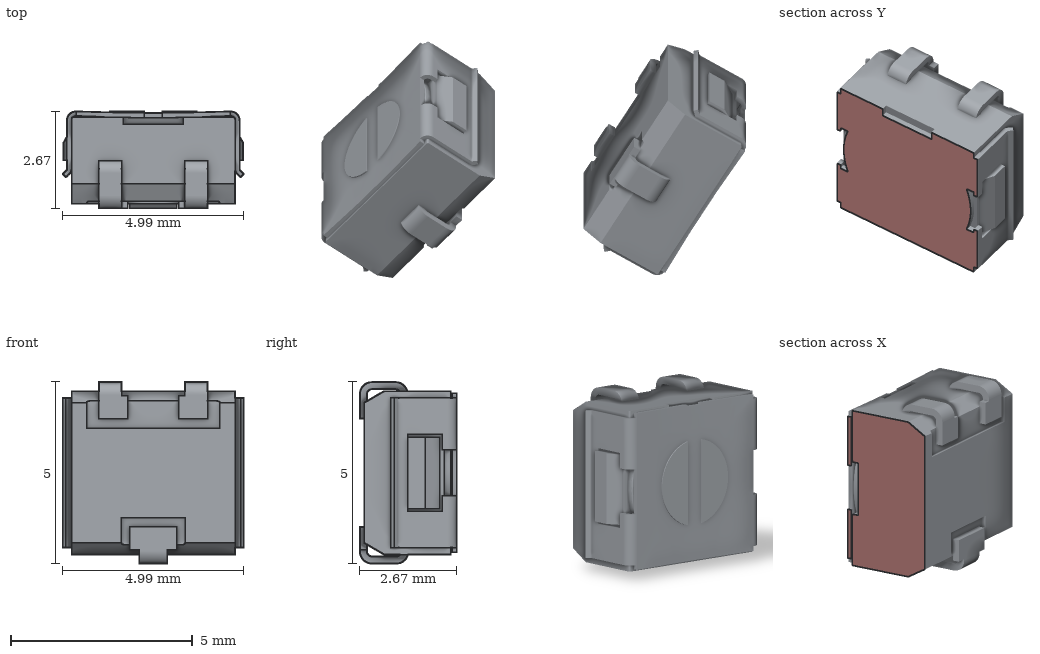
import cadquery as cq
import math

HOUSING_HALF = 2.25
HOUSING_DEPTH = 2.39
CHAMFER_DEPTH = 0.55
CHAMFER_HEIGHT = 0.32
BACK_EDGE_RADIUS = 0.05

RECESS_DEPTH = 0.08
RECESS_END_RADIUS = 0.079
RECESS_START = 1.23
TOP_RECESS_HALF_WIDTH = 1.835
BOTTOM_RECESS_HALF_WIDTH = 0.875

NOTCH_FLOOR = 2.20
TOP_NOTCH_INSET = 0.25
TOP_NOTCH_HALF_WIDTH = 0.82
SIDE_NOTCH_HALF_WIDTH = 0.75
SIDE_NOTCH_WALL_RADIUS = 2.15

WEDGE_REACH = 2.475
WEDGE_FRONT = 1.20
WEDGE_CREST = 1.68
WEDGE_BACK = 2.075
WEDGE_HALF_HEIGHT = 0.985

LEAD_FRONT = -0.12
LEAD_TOP = 2.50
LEAD_THICKNESS = 0.20
LEAD_BEND_RADIUS = 0.34
TOP_LEAD_LENGTH = 1.32
BOTTOM_LEAD_LENGTH = 1.34
PAD_START = 1.49
PAD_END = 2.115
TOP_LEAD_OUTER_X = 1.495
TOP_LEAD_INNER_X = 0.87
TOP_PAD_INNER_X = 0.70
BOTTOM_LEAD_HALF_WIDTH = 0.39
BOTTOM_PAD_HALF_WIDTH = 0.65

COVER_THICKNESS = 0.13
COVER_BACK = 2.55
COVER_HALF_WIDTH = HOUSING_HALF + COVER_THICKNESS
COVER_BEND_RADIUS = 0.26
COVER_SAG = 0.045
COVER_WALL_HALF_HEIGHT = 2.06
COVER_PLATE_HALF_HEIGHT = 2.19
COVER_NOTCH_DEPTH = 0.05
FLARE_REACH = 2.495
FLARE_START = 0.94
FLARE_BEND_RADIUS = 0.02
WINDOW_HALF_HEIGHT = 1.06
WINDOW_BACK = 2.147
WINDOW_SLOT_HALF_HEIGHT = 0.63

ROTOR_RADIUS = 1.2
ROTOR_BACK = 2.545
ROTOR_SLOT_WIDTH = 0.5


def block(x_range, y_range, z_range):
    sizes = [high - low for low, high in (x_range, y_range, z_range)]
    corner = (x_range[0], y_range[0], z_range[0])
    return cq.Workplane("XY").box(*sizes, centered=False).translate(corner)


def near_line(x, y):
    """Selects the edge that runs along Z through (x, y)."""
    return cq.selectors.NearestToPointSelector((x, y, 0))


def mirrored_x(shape):
    return shape.union(shape.mirror("YZ"))


def extrude_along_z(outline, half_height):
    return outline.extrude(half_height, both=True)


def housing_block():
    """Chamfered block with its side notches, rounded along the back edges that follow them."""
    outline = (
        cq.Workplane("YZ")
        .moveTo(0, HOUSING_HALF - CHAMFER_HEIGHT)
        .lineTo(CHAMFER_DEPTH, HOUSING_HALF)
        .lineTo(HOUSING_DEPTH, HOUSING_HALF)
        .lineTo(HOUSING_DEPTH, -HOUSING_HALF)
        .lineTo(CHAMFER_DEPTH, -HOUSING_HALF)
        .lineTo(0, CHAMFER_HEIGHT - HOUSING_HALF)
        .close()
    )
    notched = outline.extrude(HOUSING_HALF, both=True).cut(mirrored_x(side_notch()))
    return notched.faces(">Y").edges("not(<Z or >Z)").fillet(BACK_EDGE_RADIUS)


def pad_recess(half_width):
    """Recess open towards +Z, with rounded edges between its floor and its ends."""
    recess = block((-half_width, half_width), (0, RECESS_DEPTH), (RECESS_START, HOUSING_HALF))
    return recess.edges("|Z and >Y").fillet(RECESS_END_RADIUS)


def side_notch():
    """Notch in the -X back edge whose inner wall is part of a cylinder about the Y axis."""
    wall = -math.sqrt(SIDE_NOTCH_WALL_RADIUS**2 - SIDE_NOTCH_HALF_WIDTH**2)
    return (
        cq.Workplane("XZ", origin=(0, NOTCH_FLOOR, 0))
        .moveTo(-HOUSING_HALF, -SIDE_NOTCH_HALF_WIDTH)
        .lineTo(wall, -SIDE_NOTCH_HALF_WIDTH)
        .threePointArc((-SIDE_NOTCH_WALL_RADIUS, 0), (wall, SIDE_NOTCH_HALF_WIDTH))
        .lineTo(-HOUSING_HALF, SIDE_NOTCH_HALF_WIDTH)
        .close()
        .extrude(NOTCH_FLOOR - HOUSING_DEPTH)
    )


def top_notch():
    return block(
        (-TOP_NOTCH_HALF_WIDTH, TOP_NOTCH_HALF_WIDTH),
        (NOTCH_FLOOR, HOUSING_DEPTH),
        (HOUSING_HALF - TOP_NOTCH_INSET, HOUSING_HALF),
    )


def snap_wedges():
    outline = (
        cq.Workplane("XY")
        .moveTo(-HOUSING_HALF, WEDGE_FRONT)
        .lineTo(-WEDGE_REACH, WEDGE_FRONT)
        .lineTo(-WEDGE_REACH, WEDGE_CREST)
        .lineTo(-HOUSING_HALF, WEDGE_BACK)
        .close()
    )
    return mirrored_x(extrude_along_z(outline, WEDGE_HALF_HEIGHT))


def housing():
    bottom_recess = pad_recess(BOTTOM_RECESS_HALF_WIDTH).mirror("XY")
    return (
        housing_block()
        .cut(pad_recess(TOP_RECESS_HALF_WIDTH))
        .cut(bottom_recess)
        .cut(top_notch())
        .union(snap_wedges())
    )


def lead_strip(x_range, length):
    """Strip rising from the pad, bent back over the housing and down into it."""
    back = LEAD_FRONT + length
    bend_base = LEAD_TOP - LEAD_BEND_RADIUS
    strip = block(x_range, (LEAD_FRONT, back), (PAD_START, LEAD_TOP))
    strip = strip.edges("|X and >Z").fillet(LEAD_BEND_RADIUS)
    opening = block(
        x_range,
        (LEAD_FRONT + LEAD_THICKNESS, back - LEAD_THICKNESS),
        (PAD_START, LEAD_TOP - LEAD_THICKNESS),
    )
    opening = opening.edges("|X and >Z").fillet(LEAD_BEND_RADIUS - LEAD_THICKNESS)
    hidden_leg = block(x_range, (back - LEAD_BEND_RADIUS, back), (PAD_START, bend_base))
    return strip.cut(opening).cut(hidden_leg)


def lead(strip_x, pad_x, length):
    pad = block(pad_x, (LEAD_FRONT, LEAD_FRONT + LEAD_THICKNESS), (PAD_START, PAD_END))
    return lead_strip(strip_x, length).union(pad)


def leads():
    left = lead(
        (-TOP_LEAD_OUTER_X, -TOP_LEAD_INNER_X),
        (-TOP_LEAD_OUTER_X, -TOP_PAD_INNER_X),
        TOP_LEAD_LENGTH,
    )
    bottom = lead(
        (-BOTTOM_LEAD_HALF_WIDTH, BOTTOM_LEAD_HALF_WIDTH),
        (-BOTTOM_PAD_HALF_WIDTH, BOTTOM_PAD_HALF_WIDTH),
        BOTTOM_LEAD_LENGTH,
    ).mirror("XY")
    return mirrored_x(left).union(bottom)


def cover_plate():
    """Back plate, bowed slightly inwards along X, with a small notch in its upper edge."""
    half_width = COVER_HALF_WIDTH - COVER_BEND_RADIUS
    inner = COVER_BACK - COVER_THICKNESS
    outline = (
        cq.Workplane("XY")
        .moveTo(-half_width, COVER_BACK)
        .threePointArc((0, COVER_BACK - COVER_SAG), (half_width, COVER_BACK))
        .lineTo(half_width, inner)
        .threePointArc((0, inner - COVER_SAG), (-half_width, inner))
        .close()
    )
    notch = block(
        (-ROTOR_SLOT_WIDTH / 2, ROTOR_SLOT_WIDTH / 2),
        (NOTCH_FLOOR, COVER_BACK),
        (COVER_PLATE_HALF_HEIGHT - COVER_NOTCH_DEPTH, COVER_PLATE_HALF_HEIGHT),
    )
    return extrude_along_z(outline, COVER_PLATE_HALF_HEIGHT).cut(notch)


def cover_wall():
    """Bend, side wall and flared foot on -X, with the window that the snap wedge fills."""
    bend_x = COVER_BEND_RADIUS - COVER_HALF_WIDTH
    bend_y = COVER_BACK - COVER_BEND_RADIUS
    inner_radius = COVER_BEND_RADIUS - COVER_THICKNESS
    diagonal = math.sqrt(0.5)
    tip_offset = COVER_THICKNESS * diagonal
    flare_run = FLARE_REACH - COVER_HALF_WIDTH
    tip_y = FLARE_START - flare_run
    flare_angle = math.pi / 4
    inner_flare_start = FLARE_START - COVER_THICKNESS * math.tan(flare_angle / 2)
    outline = (
        cq.Workplane("XY")
        .moveTo(bend_x, COVER_BACK)
        .threePointArc(
            (bend_x - COVER_BEND_RADIUS * diagonal, bend_y + COVER_BEND_RADIUS * diagonal),
            (-COVER_HALF_WIDTH, bend_y),
        )
        .lineTo(-COVER_HALF_WIDTH, FLARE_START)
        .lineTo(-FLARE_REACH, tip_y)
        .lineTo(tip_offset - FLARE_REACH, tip_y - tip_offset)
        .lineTo(-HOUSING_HALF, inner_flare_start)
        .lineTo(-HOUSING_HALF, bend_y)
        .threePointArc(
            (bend_x - inner_radius * diagonal, bend_y + inner_radius * diagonal),
            (bend_x, bend_y + inner_radius),
        )
        .close()
    )
    wall_x = (-COVER_HALF_WIDTH, bend_x)
    window = block(wall_x, (WEDGE_FRONT, WINDOW_BACK), (-WINDOW_HALF_HEIGHT, WINDOW_HALF_HEIGHT))
    slot_z = (-WINDOW_SLOT_HALF_HEIGHT, WINDOW_SLOT_HALF_HEIGHT)
    slot = block(wall_x, (WEDGE_FRONT, COVER_BACK), slot_z)
    wall = extrude_along_z(outline, COVER_WALL_HALF_HEIGHT)
    wall = wall.edges(near_line(-COVER_HALF_WIDTH, FLARE_START)).fillet(FLARE_BEND_RADIUS)
    inner_bend = near_line(-HOUSING_HALF, inner_flare_start)
    wall = wall.edges(inner_bend).fillet(FLARE_BEND_RADIUS + COVER_THICKNESS)
    return wall.cut(window).cut(slot)


def cover():
    return cover_plate().union(mirrored_x(cover_wall()))


def rotor():
    """Disc on the back of the plate, split by a screwdriver slot along Z."""
    slot_floor = COVER_BACK - COVER_SAG
    disc = (
        cq.Workplane("XZ", origin=(0, NOTCH_FLOOR, 0))
        .circle(ROTOR_RADIUS)
        .extrude(NOTCH_FLOOR - ROTOR_BACK)
    )
    slot = block(
        (-ROTOR_SLOT_WIDTH / 2, ROTOR_SLOT_WIDTH / 2),
        (slot_floor, ROTOR_BACK),
        (-ROTOR_RADIUS, ROTOR_RADIUS),
    )
    return disc.cut(slot)


result = housing().union(cover()).union(rotor()).union(leads())